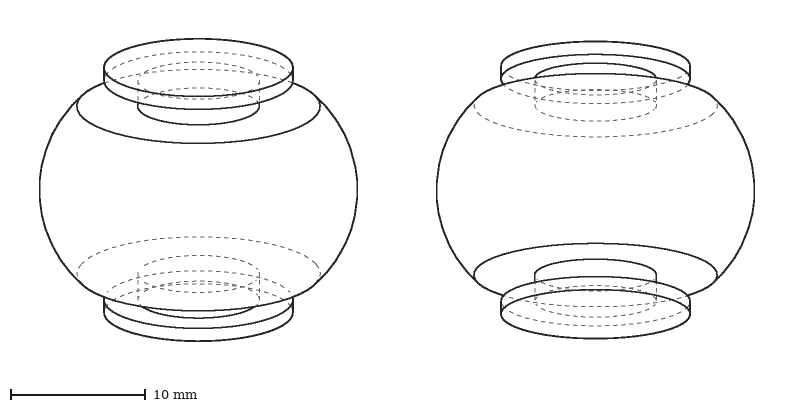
import cadquery as cq

total_height = 19.0
body_radius = 11.78
body_height = 13.0
body_face_radius = 9.0
neck_radius = 4.5
neck_length = 2.0
flange_radius = 7.0

top = total_height / 2
body_top = body_height / 2
flange_underside = body_top + neck_length

half_section = (
    cq.Workplane("XZ")
    .moveTo(0, -top)
    .lineTo(flange_radius, -top)
    .lineTo(flange_radius, -flange_underside)
    .lineTo(neck_radius, -flange_underside)
    .lineTo(neck_radius, -body_top)
    .lineTo(body_face_radius, -body_top)
    .threePointArc((body_radius, 0), (body_face_radius, body_top))
    .lineTo(neck_radius, body_top)
    .lineTo(neck_radius, flange_underside)
    .lineTo(flange_radius, flange_underside)
    .lineTo(flange_radius, top)
    .lineTo(0, top)
    .close()
)

result = half_section.revolve(360, (0, 0, 0), (0, 1, 0))